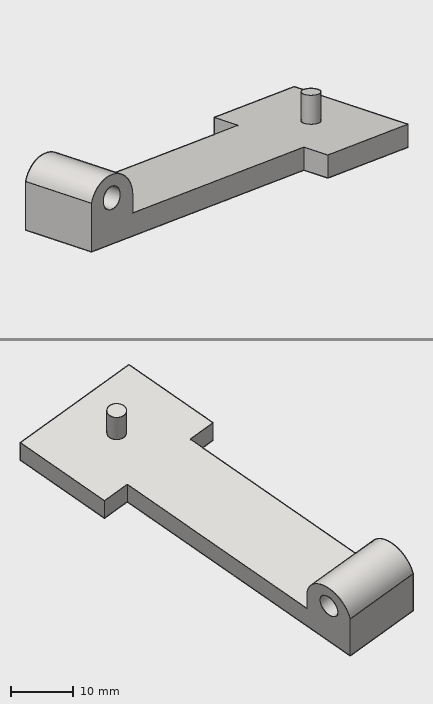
import cadquery as cq
import math

thickness = 4.0
total_length = 69.3
head_width = 25.0
head_length = 19.0
arm_width = 14.5

pin_diameter = 3.2
pin_height = 5.0

knuckle_radius = 5.0
knuckle_top = 12.0
axis_to_end_face = 4.8
hole_diameter = 4.0
hole_height = 8.0

crown_centre_height = knuckle_top - knuckle_radius
knuckle_back = axis_to_end_face + knuckle_radius
crown_end_height = crown_centre_height + math.sqrt(knuckle_radius**2 - axis_to_end_face**2)


def make_plate():
    arm = cq.Workplane("XY").box(arm_width, total_length, thickness, centered=(True, False, False))
    head = (
        cq.Workplane("XY", origin=(0, total_length - head_length, 0))
        .box(head_width, head_length, thickness, centered=(True, False, False))
    )
    return arm.union(head)


def make_pin():
    pin_y = total_length - head_length / 2
    return (
        cq.Workplane("XY", origin=(0, pin_y, 0))
        .circle(pin_diameter / 2)
        .extrude(thickness + pin_height)
    )


def make_knuckle():
    return (
        cq.Workplane("YZ")
        .lineTo(knuckle_back, 0)
        .lineTo(knuckle_back, crown_centre_height)
        .threePointArc((axis_to_end_face, knuckle_top), (0, crown_end_height))
        .close()
        .extrude(arm_width / 2, both=True)
    )


def make_hinge_hole():
    return (
        cq.Workplane("YZ")
        .center(axis_to_end_face, hole_height)
        .circle(hole_diameter / 2)
        .extrude(arm_width / 2, both=True)
    )


result = make_plate().union(make_pin()).union(make_knuckle()).cut(make_hinge_hole())